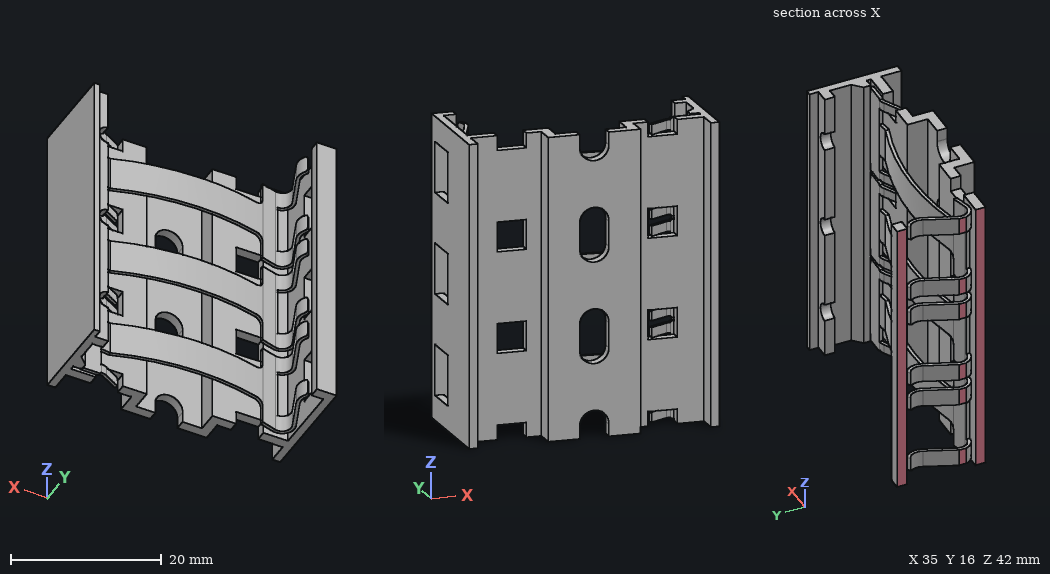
import cadquery as cq
import math

LENGTH = 42.0
WIDTH = 35.0
DEPTH = 16.0
BAYS = 3
PITCH = LENGTH / BAYS
SHEET = 1.5
WALL = 1.2
WEB_BOTTOM = 3.0
WEB_TOP = WEB_BOTTOM + SHEET
LIP_REACH = 3.0
LIP_UNDERSIDE = DEPTH - SHEET
CHANNEL_LEFT = 11.05
CHANNEL_RIGHT = 23.95
RIGHT_WALL_TOP = 13.3
RIGHT_WALL_TIP = 0.85
RIB_TOP = 12.0
RIB_BOTTOM = RIB_TOP - SHEET
RIB_REACH = 2.77
HOOK_REACH = 1.25
HOOK_BOTTOM = 5.1
HOOK_EDGE = 6.15
HOOK_TOP = HOOK_EDGE + HOOK_REACH

MID_X = (CHANNEL_LEFT + CHANNEL_RIGHT) / 2
SLOT_DIAMETER = 4.07
SLOT_LENGTH = 7.5
SQUARE = 4.07
SQUARE_OFFSET = 10.55
WINDOW_HEIGHT = 7.0
WINDOW_BOTTOM = 9.07
RIB_NOTCH_RADIUS = 1.3

STRIP = 0.5
SEAT = 0.02
BEND_RADIUS = 1.6
BEND_CENTER = (WALL - SEAT + STRIP / 2 + BEND_RADIUS, WEB_TOP - SEAT + STRIP / 2 + BEND_RADIUS)
BEND_BOTTOM = 270
LEG_LEAN = 22.0
LEG_LENGTH = 4.7
KNEE_RADIUS = 2.1
KNEE_TURN = 64.0
BOW_RISE_ANGLE = 15.6
BOW_TOP = 6.8
BOW_RADIUS = 37.8
BOW_END_X = 28.15
FOOT_X = 5.63
LEG_INNER = 3.7
LEG_OUTER = 6.25
LEG_TIP_FILLET = 0.35
BOW_HALF = 2.5
FOOT_FILLET = 1.1
FLANGE_LEFT = 29.65
FLANGE_RIGHT = 33.65
FLANGE_BOTTOM = 4.7
FLANGE_Y = FLANGE_BOTTOM + STRIP / 2
FLANGE_HALF = 6.75
FLANGE_FILLET = 0.2
TONGUE_HALF = 5.9
BARB_INNER = 5.12
BARB_OUTER = 6.55
BARB_SLOPE = 29.0
BARB_BEND_RADIUS = 1.55
BARB_LENGTH = 2.8
BARB_TIP_FILLET = 0.4


def rail_profile():
    right_face = WIDTH - WALL
    return (
        cq.Workplane("XY")
        .polyline([
            (0, 0), (WALL, 0), (WALL, WEB_BOTTOM), (CHANNEL_LEFT, WEB_BOTTOM),
            (CHANNEL_LEFT, 0), (CHANNEL_RIGHT, 0), (CHANNEL_RIGHT, WEB_BOTTOM),
            (right_face, WEB_BOTTOM), (right_face, 0), (WIDTH, 0),
            (WIDTH, RIGHT_WALL_TOP), (WIDTH - RIGHT_WALL_TIP, RIGHT_WALL_TOP),
            (WIDTH - RIGHT_WALL_TIP, RIB_TOP), (WIDTH - RIB_REACH, RIB_TOP),
            (WIDTH - RIB_REACH, RIB_BOTTOM), (right_face, RIB_BOTTOM),
            (right_face, HOOK_TOP), (right_face - HOOK_REACH, HOOK_EDGE),
            (right_face - HOOK_REACH, HOOK_BOTTOM), (right_face, HOOK_BOTTOM),
            (right_face, WEB_TOP), (CHANNEL_RIGHT - SHEET, WEB_TOP),
            (CHANNEL_RIGHT - SHEET, SHEET), (CHANNEL_LEFT + SHEET, SHEET),
            (CHANNEL_LEFT + SHEET, WEB_TOP), (WALL, WEB_TOP),
            (WALL, LIP_UNDERSIDE), (LIP_REACH, LIP_UNDERSIDE),
            (LIP_REACH, DEPTH), (0, DEPTH),
        ])
        .close()
        .extrude(LENGTH)
    )


def block(x0, x1, y0, y1, z0, z1):
    return cq.Workplane("XY").box(x1 - x0, y1 - y0, z1 - z0, centered=False).translate((x0, y0, z0))


def web_openings():
    """Slots in the channel floor and squares in the web; the end ones are cut in half."""
    levels = [i * PITCH for i in range(BAYS + 1)]
    front = cq.Workplane("XZ")
    slots = (
        front.pushPoints([(MID_X, z) for z in levels])
        .slot2D(SLOT_LENGTH, SLOT_DIAMETER, 90)
        .extrude(-SHEET)
    )
    squares = (
        front.workplane(offset=-WEB_BOTTOM)
        .pushPoints([(MID_X + side * SQUARE_OFFSET, z) for z in levels for side in (-1, 1)])
        .rect(SQUARE, SQUARE)
        .extrude(-SHEET)
    )
    return slots.union(squares)


def bay_openings(z):
    """Window in the left wall and round notch in the right rib, centred at height z."""
    half = WINDOW_HEIGHT / 2
    window = block(0, WALL, WINDOW_BOTTOM, LIP_UNDERSIDE, z - half, z + half)
    notch = (
        cq.Workplane("XZ", origin=(0, RIB_BOTTOM, 0))
        .center(WIDTH - RIB_REACH, z)
        .circle(RIB_NOTCH_RADIUS)
        .extrude(-SHEET)
    )
    return window.union(notch)


def polar(center, radius, degrees):
    angle = math.radians(degrees)
    return (center[0] + radius * math.cos(angle), center[1] + radius * math.sin(angle))


def strip_arc(center, radius, start, end):
    """Outline of a curved strip, from start to end angle in degrees."""
    inner = radius - STRIP / 2
    outer = radius + STRIP / 2
    middle = (start + end) / 2
    return (
        cq.Workplane("XY")
        .moveTo(*polar(center, inner, start))
        .threePointArc(polar(center, inner, middle), polar(center, inner, end))
        .lineTo(*polar(center, outer, end))
        .threePointArc(polar(center, outer, middle), polar(center, outer, start))
        .close()
    )


def strip_line(start, end):
    """Outline of a straight strip between two centreline points."""
    run = math.dist(start, end)
    dx = -(end[1] - start[1]) / run * STRIP / 2
    dy = (end[0] - start[0]) / run * STRIP / 2
    return (
        cq.Workplane("XY")
        .polyline([
            (start[0] + dx, start[1] + dy), (end[0] + dx, end[1] + dy),
            (end[0] - dx, end[1] - dy), (start[0] - dx, start[1] - dy),
        ])
        .close()
    )


def slab(outline, low, high):
    return outline.extrude(high - low).translate((0, 0, low))


def both_sides(solid):
    return solid.union(solid.mirror("XY"))


def clip_legs():
    """Two legs that rise from the bend along the left wall and curl over at a rounded tip."""
    bend_start = 180 - LEG_LEAN
    leg_foot = polar(BEND_CENTER, BEND_RADIUS, bend_start)
    leg_head = polar(leg_foot, LEG_LENGTH, 90 - LEG_LEAN)
    knee_center = polar(leg_head, KNEE_RADIUS, 180 - LEG_LEAN)
    knee = strip_arc(knee_center, KNEE_RADIUS, -LEG_LEAN, KNEE_TURN - LEG_LEAN)
    shank = strip_line(leg_foot, leg_head)
    bend = strip_arc(BEND_CENTER, BEND_RADIUS, bend_start, BEND_BOTTOM)
    leg = (
        slab(knee, LEG_INNER, LEG_OUTER)
        .faces(">Y")
        .edges("#Z")
        .fillet(LEG_TIP_FILLET)
        .union(slab(shank, LEG_INNER, LEG_OUTER))
        .union(slab(bend, LEG_INNER, LEG_OUTER))
    )
    return both_sides(leg)


def bow_plan():
    """Prism limiting the bow: wide foot, rounded step, then the narrow strip."""
    foot = block(0, FOOT_X, 0, DEPTH, -LEG_OUTER, LEG_OUTER)
    strip = block(FOOT_X, WIDTH, 0, DEPTH, -BOW_HALF, BOW_HALF)
    step_corners = cq.selectors.BoxSelector((FOOT_X / 2, 0, -LEG_INNER), (2 * FOOT_X, DEPTH, LEG_INNER))
    return foot.union(strip).edges("|Y").edges(step_corners).fillet(FOOT_FILLET)


def clip_bow():
    """Strip that leaves the bend on a straight ramp, arches over the channel and meets the flange."""
    rise = math.radians(BOW_RISE_ANGLE)
    bend_end = BEND_BOTTOM + BOW_RISE_ANGLE
    ramp_start = polar(BEND_CENTER, BEND_RADIUS, bend_end)
    bow_start_y = BOW_TOP - BOW_RADIUS * (1 - math.cos(rise))
    ramp_length = (bow_start_y - ramp_start[1]) / math.sin(rise)
    bow_start = polar(ramp_start, ramp_length, BOW_RISE_ANGLE)
    bow_center = polar(bow_start, BOW_RADIUS, bend_end)
    bow_end_angle = math.degrees(math.acos((BOW_END_X - bow_center[0]) / BOW_RADIUS))
    bow_end = polar(bow_center, BOW_RADIUS, bow_end_angle)
    outlines = [
        strip_arc(BEND_CENTER, BEND_RADIUS, BEND_BOTTOM, bend_end),
        strip_line(ramp_start, bow_start),
        strip_arc(bow_center, BOW_RADIUS, 90 + BOW_RISE_ANGLE, bow_end_angle),
        strip_line(bow_end, (FLANGE_LEFT, FLANGE_Y)),
    ]
    bow = cq.Workplane("XY")
    for outline in outlines:
        bow = bow.union(slab(outline, -LEG_OUTER, LEG_OUTER))
    return bow.intersect(bow_plan())


def clip_flange():
    """Flat flange on the web, with a narrower tongue under the hook."""
    top = FLANGE_BOTTOM + STRIP
    hook_face = WIDTH - WALL - HOOK_REACH
    plate = block(FLANGE_LEFT, hook_face, FLANGE_BOTTOM, top, -FLANGE_HALF, FLANGE_HALF)
    tongue = block(hook_face, FLANGE_RIGHT, FLANGE_BOTTOM, top, -TONGUE_HALF, TONGUE_HALF)
    return plate.edges("|Y and <X").fillet(FLANGE_FILLET).union(tongue)


def clip_barbs():
    """Two barbs bent down from the flange into the squares of the web."""
    bend_center = (FLANGE_LEFT, FLANGE_Y - BARB_BEND_RADIUS)
    root = polar(bend_center, BARB_BEND_RADIUS, 90 + BARB_SLOPE)
    tip = polar(root, BARB_LENGTH, 180 + BARB_SLOPE)
    bend = strip_arc(bend_center, BARB_BEND_RADIUS, 90, 90 + BARB_SLOPE)
    left_end = tip[0] - STRIP / 2 * math.sin(math.radians(BARB_SLOPE))
    plan = (
        block(left_end, FLANGE_LEFT, 0, DEPTH, BARB_INNER, BARB_OUTER)
        .edges("|Y and <X and <Z")
        .fillet(BARB_TIP_FILLET)
    )
    barb = (
        slab(strip_line(tip, root), BARB_INNER, BARB_OUTER)
        .intersect(plan)
        .union(slab(bend, BARB_INNER, BARB_OUTER))
    )
    return both_sides(barb)


def spring_clip():
    """Clip centred on Z = 0."""
    return clip_legs().union(clip_bow()).union(clip_flange()).union(clip_barbs())


result = rail_profile().cut(web_openings())
for bay in range(BAYS):
    bay_z = (bay + 0.5) * PITCH
    result = result.cut(bay_openings(bay_z))
    result = result.union(spring_clip().translate((0, 0, bay_z)))